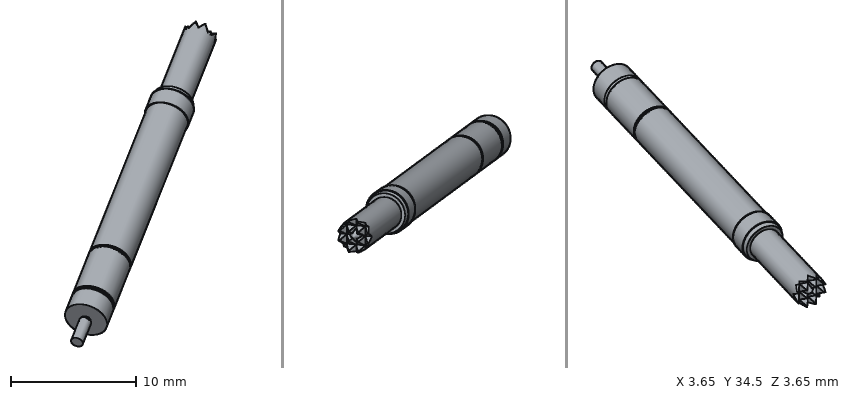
import cadquery as cq


AXIS_START = (0, 0, 0)
AXIS_END = (0, 1, 0)

pin_diameter = 1.0
neck_diameter = 0.8
body_diameter = 3.52
groove_diameter = 3.3
collar_diameter = 3.65
nose_front_diameter = 3.3
plunger_diameter = 2.7

total_length = 34.5
pin_end = 2.3
body_start = 2.52
rear_groove_start = 4.28
rear_groove_flare = 0.2
rear_groove_end = 4.6
mark_groove_start = 8.97
mark_groove_end = 9.18
collar_start = 25.0
collar_end = 26.55
nose_end = 26.98

groove_pitch = 0.8
groove_depth = 0.62
point_diameter = 1.1
cut_overrun = 0.35
point_embed = 0.35


def turned_body():
    """Solid of revolution about the Y axis, given as (radius, y) points."""
    pin_r = pin_diameter / 2
    neck_r = neck_diameter / 2
    body_r = body_diameter / 2
    groove_r = groove_diameter / 2
    collar_r = collar_diameter / 2
    plunger_r = plunger_diameter / 2
    outline = [
        (0, 0),
        (pin_r, 0),
        (pin_r, pin_end),
        (neck_r, pin_end),
        (neck_r, body_start),
        (body_r, body_start),
        (body_r, rear_groove_start),
        (groove_r, rear_groove_start + rear_groove_flare),
        (groove_r, rear_groove_end),
        (body_r, rear_groove_end),
        (body_r, mark_groove_start),
        (groove_r, mark_groove_start),
        (groove_r, mark_groove_end),
        (body_r, mark_groove_end),
        (body_r, collar_start),
        (collar_r, collar_start),
        (collar_r, collar_end),
        (body_r, collar_end),
        (nose_front_diameter / 2, nose_end),
        (plunger_r, nose_end),
        (plunger_r, total_length),
        (0, total_length),
    ]
    return cq.Workplane("XY").polyline(outline).close().revolve(360, AXIS_START, AXIS_END)


def v_groove(offset):
    """V groove running along Z, centred at X = offset, open at the crown end."""
    rim_half_width = groove_pitch / 2
    cut_length = plunger_diameter + 2 * cut_overrun
    return (
        cq.Workplane("XY")
        .moveTo(offset - rim_half_width, total_length)
        .lineTo(offset, total_length - groove_depth)
        .lineTo(offset + rim_half_width, total_length)
        .close()
        .extrude(cut_length / 2, both=True)
    )


def centre_point():
    """Cone on the axis rising from the groove bottoms to the tooth tips, on a short embedded stub."""
    point_r = point_diameter / 2
    groove_bottom = total_length - groove_depth
    return (
        cq.Workplane("XY")
        .moveTo(0, groove_bottom - point_embed)
        .lineTo(point_r, groove_bottom - point_embed)
        .lineTo(point_r, groove_bottom)
        .lineTo(0, total_length)
        .close()
        .revolve(360, AXIS_START, AXIS_END)
    )


result = turned_body()
for offset in (-groove_pitch, 0, groove_pitch):
    groove = v_groove(offset)
    crossing_groove = groove.rotate(AXIS_START, AXIS_END, 90)
    result = result.cut(groove).cut(crossing_groove)
result = result.union(centre_point())